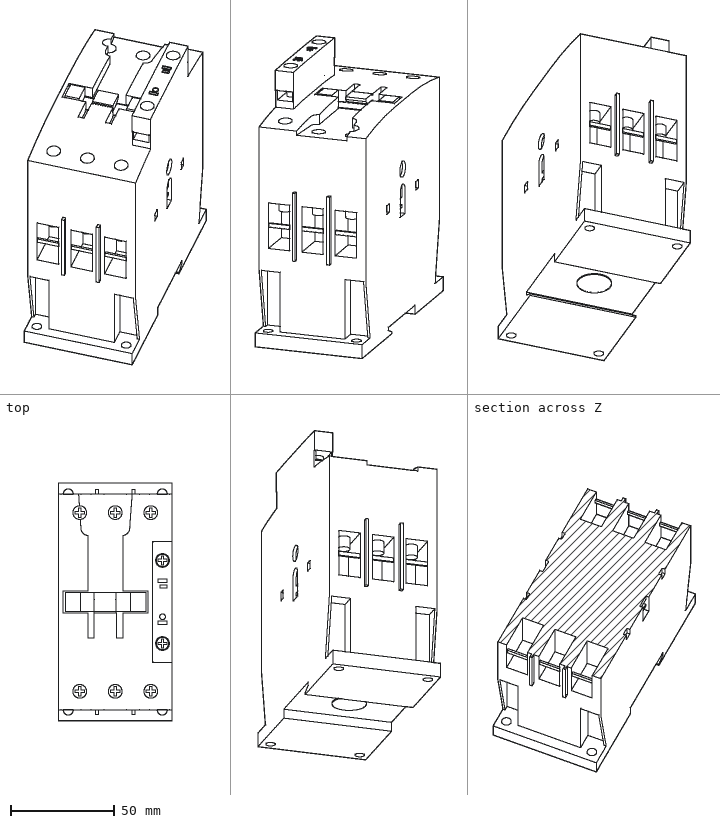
import cadquery as cq
import math

width = 55.0
base_length = 115.0
total_height = 132.1
half_width = width / 2

base_thickness = 7.1
body_length = 104.4
half_body = body_length / 2
shoulder_height = 110.0
crown_height = 113.7
crown_flat_length = 24.0

rail_top = 4.6
rail_near = -17.7
rail_far = 19.8
rail_hook_tip = 15.0
rail_hook_root_height = 3.0
rail_hook_tip_height = 0.9
rail_pad_diameter = 16.8
rail_pad_drop = 0.5

mount_hole_diameter = 4.6
mount_hole_x = 22.7
mount_hole_y = 52.3
corner_inner_x = 16.6
corner_wall = 1.2
corner_depth = 8.5
corner_top = 37.4
corner_slope_foot = 6.1

pole_pitch = 17.2
pole_y = 43.2
window_width = 11.0
window_bottom = 48.9
window_top = 72.0
window_depth = 18.5
clamp_bar_bottom = 59.5
clamp_bar_height = 2.0
clamp_bar_thickness = 1.0
clamp_bar_recess = 0.7
screw_well_diameter = 6.6
screw_well_floor = 76.6
screw_head_diameter = 6.2
screw_head_bottom = 66.3
cross_length = 4.5
cross_width = 1.2
cross_depth = 0.8
barrier_x = 8.9
barrier_width = 1.5
barrier_projection = 2.1
barrier_bottom = 44.5
barrier_height = 34.5

channel_floor = 107.9
channel_left = -13.2
channel_right = 3.7
channel_flare_left = -17.7
channel_flare_right = 8.2
channel_shoulder_left = -16.6
channel_shoulder_right = 7.0
channel_shoulder_y = 36.3
channel_neck_y = 32.1
shoulder_bulge = 1.0
carriage_well_left = -25.2
carriage_well_right = 15.9
carriage_well_near = -5.4
carriage_well_far = 5.3
carriage_length = 9.0
carriage_top = 114.0
carriage_bed_top = 108.3
carriage_left_block = (-24.2, -16.9)
carriage_nose = (-10.2, 0.3)
carriage_right_block = (7.3, 14.8)
nose_tip_thickness = 1.3
nose_root_y = 1.2
nose_underside = 110.6
nose_groove_depth = 0.8
guide_slot_width = 3.0
guide_slot_end = -17.3

side_recess_depth = 1.6
side_hole_diameter = 7.9
side_hole_height = 79.0
side_square_y = 20.5
side_square_length = 3.7
side_square_height = 4.2
side_square_bottom = 62.7
side_slot_width = 6.7
side_slot_bottom = 55.5
side_slot_top = 71.2
side_slot_through_top = 63.5
side_bar_bottom = 58.4
side_bar_height = 1.5

aux_left = 18.1
aux_length = 58.7
aux_foot_length = 57.6
aux_step_height = 121.8
aux_embed = 5.3
aux_flat_length = 30.0
aux_end_drop = 0.22
aux_screw_x = 22.9
aux_screw_y = 20.1
aux_well_floor = 123.5
aux_window_left = 18.6
aux_window_right = 26.5
aux_window_bottom = 116.8
aux_window_depth = 15.9
aux_head_diameter = 6.0
aux_head_bottom = 119.8
aux_head_gap_depth = 0.5
aux_shank_diameter = 3.7
marker_depth = 0.4
marker_width = 1.6
marker_right = 25.0
marker_bars = [(10.3, 4.4), (7.5, 3.3), (-10.0, 4.4)]
marker_dot_y = -7.1
marker_dot_diameter = 2.8


def block(x_range, y_range, z_range):
    """Axis-aligned box given by its start and end along each axis."""
    (x0, x1), (y0, y1), (z0, z1) = x_range, y_range, z_range
    return cq.Workplane("XY").box(x1 - x0, y1 - y0, z1 - z0, centered=False).translate((x0, y0, z0))


def centred(middle, size):
    """Start and end of a span of the given size about its middle."""
    return (middle - size / 2, middle + size / 2)


def post(x, y, diameter, bottom, top):
    """Vertical cylinder."""
    return cq.Workplane("XY", origin=(x, y, bottom)).circle(diameter / 2).extrude(top - bottom)


def on_both_ends(shape):
    """The shape together with its mirror image across the XZ plane."""
    return shape.union(shape.mirror("XZ"))


def on_both_sides(shape):
    """The shape together with its mirror image across the YZ plane."""
    return shape.union(shape.mirror("YZ"))


def screw_well(x, y, floor, top):
    """Round well with a cross recess in the screw head at its floor."""
    cross_z = (floor - cross_depth, floor)
    along_x = block(centred(x, cross_length), centred(y, cross_width), cross_z)
    along_y = block(centred(x, cross_width), centred(y, cross_length), cross_z)
    return post(x, y, screw_well_diameter, floor, top).union(along_x).union(along_y)


def make_body():
    """Base plate and domed housing."""
    dome_run = half_body - crown_flat_length / 2
    dome_rise = crown_height - shoulder_height
    dome_radius = (dome_run**2 + dome_rise**2) / (2 * dome_rise)
    flat_end = crown_flat_length / 2
    half_angle = math.asin(dome_run / dome_radius) / 2
    mid_y = flat_end + dome_radius * math.sin(half_angle)
    mid_z = crown_height - dome_radius * (1 - math.cos(half_angle))
    housing = (
        cq.Workplane("YZ")
        .moveTo(-half_body, 0)
        .lineTo(half_body, 0)
        .lineTo(half_body, shoulder_height)
        .threePointArc((mid_y, mid_z), (flat_end, crown_height))
        .lineTo(-flat_end, crown_height)
        .threePointArc((-mid_y, mid_z), (-half_body, shoulder_height))
        .close()
        .extrude(half_width, both=True)
    )
    plate = block(centred(0, width), centred(0, base_length), (0, base_thickness))
    return housing.union(plate)


def make_rail_notch():
    """Rail notch with a hooked +Y edge and a round pad left on its roof."""
    notch = (
        cq.Workplane("YZ")
        .polyline([
            (rail_near, 0),
            (rail_near, rail_top),
            (rail_far, rail_top),
            (rail_far, rail_hook_root_height),
            (rail_hook_tip, rail_hook_tip_height),
            (rail_hook_tip, 0),
        ])
        .close()
        .extrude(half_width, both=True)
    )
    return notch.cut(post(0, 0, rail_pad_diameter, rail_top - rail_pad_drop, rail_top))


def make_corner_pockets():
    """Pockets over the mounting holes, with side walls that lean back to the base plate."""
    pocket = block(
        (-half_width + corner_wall, -corner_inner_x),
        (-half_body, -half_body + corner_depth),
        (base_thickness, corner_top),
    )
    lean = (
        cq.Workplane("YZ", origin=(-half_width, 0, 0))
        .polyline([
            (-half_body, base_thickness),
            (-half_body + corner_slope_foot, base_thickness),
            (-half_body, corner_top),
        ])
        .close()
        .extrude(corner_wall)
    )
    hole = post(-mount_hole_x, -mount_hole_y, mount_hole_diameter, 0, base_thickness)
    return on_both_ends(on_both_sides(pocket.union(lean).union(hole)))


def add_poles(body):
    """Three poles at each end, with barriers between them."""
    for pole_x in (-pole_pitch, 0, pole_pitch):
        across = centred(pole_x, window_width)
        window = block(across, (-half_body, -half_body + window_depth), (window_bottom, window_top))
        well = screw_well(pole_x, -pole_y, screw_well_floor, crown_height)
        body = body.cut(on_both_ends(window.union(well)))

        bar_front = -half_body + clamp_bar_recess
        bar = block(
            across,
            (bar_front, bar_front + clamp_bar_thickness),
            (clamp_bar_bottom, clamp_bar_bottom + clamp_bar_height),
        )
        head = post(pole_x, -pole_y, screw_head_diameter, screw_head_bottom, window_top)
        body = body.union(on_both_ends(bar)).union(on_both_ends(head))

    barrier = block(
        centred(barrier_x, barrier_width),
        (-half_body - barrier_projection, -half_body),
        (barrier_bottom, barrier_bottom + barrier_height),
    )
    return body.union(on_both_ends(on_both_sides(barrier)))


def make_channel():
    """Flat channel flaring out to the +Y end, with rounded shoulders into its neck."""
    shoulder_mid_y = (channel_neck_y + channel_shoulder_y) / 2 - shoulder_bulge
    left_mid_x = (channel_left + channel_shoulder_left - shoulder_bulge) / 2
    right_mid_x = (channel_right + channel_shoulder_right + shoulder_bulge) / 2
    return (
        cq.Workplane("XY", origin=(0, 0, channel_floor))
        .moveTo(channel_left, carriage_well_far)
        .lineTo(channel_left, channel_neck_y)
        .threePointArc((left_mid_x, shoulder_mid_y), (channel_shoulder_left, channel_shoulder_y))
        .lineTo(channel_flare_left, half_body)
        .lineTo(channel_flare_right, half_body)
        .lineTo(channel_shoulder_right, channel_shoulder_y)
        .threePointArc((right_mid_x, shoulder_mid_y), (channel_right, channel_neck_y))
        .lineTo(channel_right, carriage_well_far)
        .close()
        .extrude(crown_height - channel_floor)
    )


def make_carriage_nose():
    """Middle carriage block, held at its -Y end above the bed, with a thin sloped +Y tip."""
    nose_start, nose_end = carriage_nose
    half_length = carriage_length / 2
    groove_floor = carriage_top - nose_groove_depth
    return (
        cq.Workplane("YZ", origin=(nose_start, 0, 0))
        .polyline([
            (half_length, carriage_top),
            (half_length, carriage_top - nose_tip_thickness),
            (nose_root_y, nose_underside),
            (carriage_well_near, nose_underside),
            (carriage_well_near, groove_floor),
            (-half_length, groove_floor),
            (-half_length, carriage_top),
        ])
        .close()
        .extrude(nose_end - nose_start)
    )


def add_carriage(body):
    """Channel, carriage well and guide slots, with the contact carriage standing in the well."""
    depth_span = (channel_floor, crown_height)
    well = block(
        (carriage_well_left, carriage_well_right),
        (carriage_well_near, carriage_well_far),
        depth_span,
    )
    body = body.cut(make_channel()).cut(well)
    for slot_left in (channel_left, channel_right - guide_slot_width):
        body = body.cut(block((slot_left, slot_left + guide_slot_width), (guide_slot_end, 0), depth_span))

    along = centred(0, carriage_length)
    bed_span = (carriage_left_block[0], carriage_right_block[1])
    body = body.union(block(bed_span, along, (channel_floor, carriage_bed_top)))
    for block_span in (carriage_left_block, carriage_right_block):
        body = body.union(block(block_span, along, (channel_floor, carriage_top)))

    return body.union(make_carriage_nose())


def cut_side_openings(body):
    """Shallow recesses in both side walls and a slot through the body crossed by a bar along X."""
    skin = (-half_width, -half_width + side_recess_depth)
    round_recess = (
        cq.Workplane("YZ", origin=(-half_width, 0, side_hole_height))
        .circle(side_hole_diameter / 2)
        .extrude(side_recess_depth)
    )
    square = block(
        skin,
        centred(side_square_y, side_square_length),
        (side_square_bottom, side_square_bottom + side_square_height),
    )
    slot_radius = side_slot_width / 2
    arch_spring = side_slot_top - slot_radius
    arch = (
        cq.Workplane("YZ", origin=(-half_width, 0, 0))
        .moveTo(-slot_radius, side_slot_bottom)
        .lineTo(slot_radius, side_slot_bottom)
        .lineTo(slot_radius, arch_spring)
        .threePointArc((0, side_slot_top), (-slot_radius, arch_spring))
        .close()
        .extrude(side_recess_depth)
    )
    recesses = round_recess.union(on_both_ends(square)).union(arch)
    across = centred(0, side_slot_width)
    passage = block(centred(0, width), across, (side_slot_bottom, side_slot_through_top))
    bar = block(
        centred(0, width - 2 * side_recess_depth),
        across,
        (side_bar_bottom, side_bar_bottom + side_bar_height),
    )
    return body.cut(on_both_sides(recesses)).cut(passage).union(bar)


def add_auxiliary_block(body):
    """Contact block with stepped ends, two screw wells and a wire window at each end."""
    across = (aux_left, half_width)
    foot_bottom = crown_height - aux_embed
    half_aux = aux_length / 2
    half_flat = aux_flat_length / 2
    end_height = total_height - aux_end_drop
    cap = (
        cq.Workplane("YZ", origin=(aux_left, 0, 0))
        .polyline([
            (-half_aux, aux_step_height),
            (half_aux, aux_step_height),
            (half_aux, end_height),
            (half_flat, total_height),
            (-half_flat, total_height),
            (-half_aux, end_height),
        ])
        .close()
        .extrude(half_width - aux_left)
    )
    foot = block(across, centred(0, aux_foot_length), (foot_bottom, aux_step_height))

    end_y = -aux_foot_length / 2
    window = block(
        (aux_window_left, aux_window_right),
        (end_y, end_y + aux_window_depth),
        (aux_window_bottom, aux_step_height),
    )
    well = screw_well(aux_screw_x, -aux_screw_y, aux_well_floor, total_height)
    head = post(aux_screw_x, -aux_screw_y, aux_head_diameter, aux_head_bottom, aux_step_height)
    ring_bottom = aux_well_floor - aux_head_gap_depth
    ring = post(aux_screw_x, -aux_screw_y, screw_well_diameter, ring_bottom, aux_well_floor).cut(
        post(aux_screw_x, -aux_screw_y, aux_head_diameter, ring_bottom, aux_well_floor)
    )
    well = well.union(ring)
    shank = post(aux_screw_x, -aux_screw_y, aux_shank_diameter, aux_window_bottom, aux_step_height)

    marker_z = (total_height - marker_depth, total_height)
    markers = post(aux_screw_x, marker_dot_y, marker_dot_diameter, *marker_z)
    for bar_y, bar_length in marker_bars:
        bar_span = (marker_right - bar_length, marker_right)
        markers = markers.union(block(bar_span, centred(bar_y, marker_width), marker_z))

    return (
        body.union(cap.union(foot))
        .cut(on_both_ends(window.union(well)))
        .union(on_both_ends(head.union(shank)))
        .cut(markers)
    )


body = make_body().cut(make_rail_notch()).cut(make_corner_pockets())
body = add_poles(body)
body = add_carriage(body)
body = cut_side_openings(body)
result = add_auxiliary_block(body)